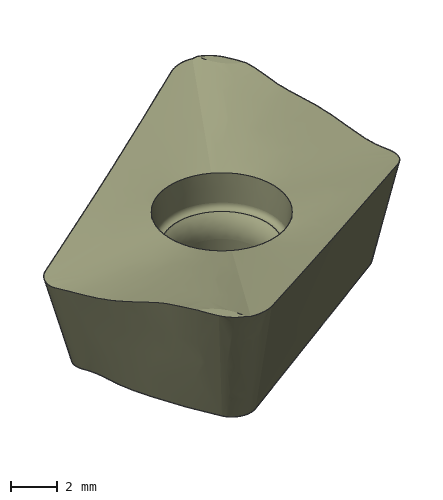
import cadquery as cq

height = 6.35
half_length = 9.36

bore_diameter = 4.15
mouth_diameter = 6.05
seat_diameter = 5.25
mouth_rim = 5.04
wall_foot_diameter = 5.85
wall_foot = 3.55
seat_top = 3.32
seat_bottom = 2.25
fillet_bulge = 0.7

base_low_corner = [(-4.65, -5.62), (-3.88, -6.46)]
base_end_edge = [(-2.06, -6.99), (0.0, -7.42)]
base_high_corner = [(3.03, -7.66), (4.15, -6.55)]

top_low_corner = [(-5.8, -6.99), (-4.9, -8.02)]
top_end_edge = [(-1.24, -8.75), (0.94, -8.88), (1.91, -9.15)]
top_high_corner = [(3.55, -half_length), (5.35, -7.68)]

top_face_low_corner = (-8.15, -11.24, 4.42)
top_face_end_wave = [
    (-6.55, -11.24, 4.45),
    (-2.81, -11.24, 5.23),
    (0.0, -11.24, 6.07),
    (2.55, -11.24, 6.67),
]
top_face_high_corner = (6.1, -11.24, 6.78)
mouth_low_direction = cq.Vector(-10.7, -12.5, 0).normalized()
mouth_high_direction = cq.Vector(8.0, -14.0, 0).normalized()


def half_turn(point):
    x, y = point[:2]
    return (-x, -y) + tuple(point[2:])


def outline(sketch, low_corner, end_edge, high_corner):
    """Draw one closed outline: two identical ends joined by straight sides."""
    side_start = cq.Vector(*half_turn(high_corner[1]))
    arc_start, arc_end = [cq.Vector(*point) for point in low_corner]
    side_direction = (arc_start - side_start).normalized()
    chord = (arc_end - arc_start).normalized()
    end_direction = chord * (2 * chord.dot(side_direction)) - side_direction
    low_tangent = (end_direction.x, end_direction.y)
    high_tangent = (1.0, 0.0)

    sketch = sketch.moveTo(side_start.x, side_start.y)
    for turn in (tuple, half_turn):
        sketch = sketch.lineTo(*turn(low_corner[0]))
        sketch = sketch.tangentArcPoint(turn(low_corner[1]), relative=False)
        sketch = sketch.spline(
            [turn(point) for point in end_edge + high_corner[:1]],
            tangents=[turn(low_tangent), turn(high_tangent)],
            includeCurrent=True,
        )
        sketch = sketch.tangentArcPoint(turn(high_corner[1]), relative=False)
    return sketch.wire()


def tapered_body():
    base = outline(cq.Workplane("XY"), base_low_corner, base_end_edge, base_high_corner)
    both = outline(base.workplane(offset=height), top_low_corner, top_end_edge, top_high_corner)
    return both.loft(ruled=True, combine=True)


def mouth_arc(start_direction, end_direction):
    """Arc of the hole mouth's rim between two directions from the centre."""
    radius = mouth_diameter / 2
    middle_direction = (start_direction + end_direction).normalized()
    rim_centre = cq.Vector(0, 0, mouth_rim)
    points = [
        rim_centre + direction * radius
        for direction in (start_direction, middle_direction, end_direction)
    ]
    return cq.Edge.makeThreePointArc(*points)


def space_below_top_face():
    """Block whose top is four ruled faces between the outer boundary and the hole mouth."""
    end_points = [top_face_low_corner] + top_face_end_wave + [top_face_high_corner]
    end_curve = cq.Edge.makeSpline([cq.Vector(*point) for point in end_points])
    side_start = cq.Vector(*top_face_high_corner)
    side_end = cq.Vector(*half_turn(top_face_low_corner))
    side_line = cq.Edge.makeLine(side_start, side_end)
    end_arc = mouth_arc(mouth_low_direction, mouth_high_direction)
    side_arc = mouth_arc(mouth_high_direction, mouth_low_direction * -1)

    faces = []
    floor_edges = []
    mouth_edges = []
    for angle in (0, 180):
        turn = (cq.Vector(0, 0, 0), cq.Vector(0, 0, 1), angle)
        for outer, inner in ((end_curve, end_arc), (side_line, side_arc)):
            start = outer.startPoint()
            end = outer.endPoint()
            floor_edge = cq.Edge.makeLine(cq.Vector(start.x, start.y, 0), cq.Vector(end.x, end.y, 0))
            ruled_top = cq.Face.makeRuledSurface(outer, inner)
            wall = cq.Face.makeRuledSurface(floor_edge, outer)
            faces += [ruled_top.rotate(*turn), wall.rotate(*turn)]
            floor_edges.append(floor_edge.rotate(*turn))
            mouth_edges.append(inner.rotate(*turn))
    for edges in (floor_edges, mouth_edges):
        faces.append(cq.Face.makeFromWires(cq.Wire.assembleEdges(edges)))
    return cq.Workplane(cq.Solid.makeSolid(cq.Shell.makeShell(faces)).fix())


def screw_hole():
    bore_radius = bore_diameter / 2
    mouth_radius = mouth_diameter / 2
    seat_radius = seat_diameter / 2
    foot_radius = wall_foot_diameter / 2
    fillet_middle = (
        seat_radius + fillet_bulge * (foot_radius - seat_radius),
        seat_top + (1 - fillet_bulge) * (wall_foot - seat_top),
    )
    profile = (
        cq.Workplane("XZ")
        .lineTo(bore_radius, 0)
        .lineTo(bore_radius, seat_bottom)
        .tangentArcPoint((seat_radius, seat_top), relative=False)
        .threePointArc(fillet_middle, (foot_radius, wall_foot))
        .lineTo(mouth_radius, mouth_rim)
        .lineTo(mouth_radius, height)
        .lineTo(0, height)
        .close()
    )
    return profile.revolve(360, (0, 0, 0), (0, 1, 0))


result = tapered_body().intersect(space_below_top_face()).cut(screw_hole())